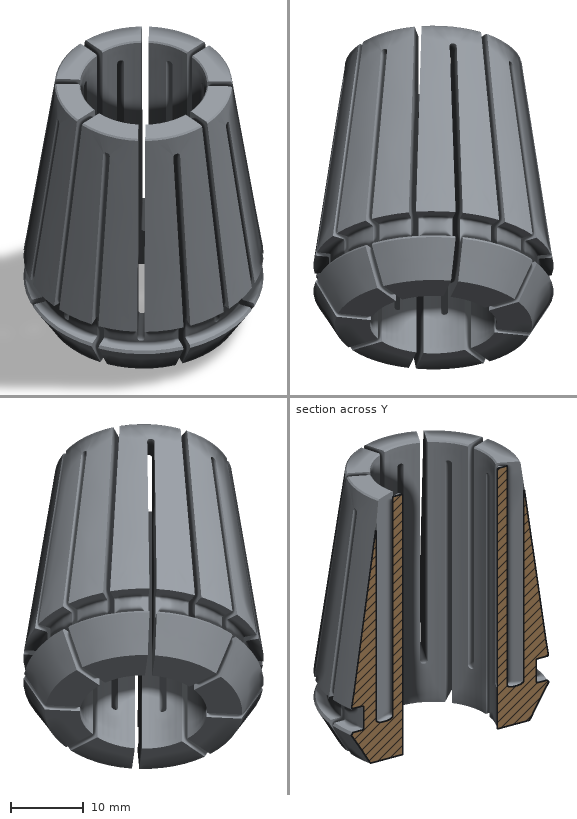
import cadquery as cq
import math

length = 40.0
max_radius = 16.5
bore_radius = 17.46 / 2

taper_angle = 8.0
taper_bottom_z = 9.1
top_edge_chamfer = 0.2
bore_edge_chamfer = 0.2

groove_radius = 14.6
groove_bottom_z = 5.5
groove_fillet = 0.2
nose_angle = 30.0
nose_rim_z = 5.1
rim_chamfer_width = 0.25

slot_width = 1.0
slots_per_set = 8
slot_pitch = 360.0 / slots_per_set
nose_slot_end_z = 37.1
top_slot_end_z = 5.9
slot_corner_radius = 0.45
slot_overrun = 1.0

top_radius = max_radius - (length - taper_bottom_z) * math.tan(math.radians(taper_angle))
nose_radius = max_radius - nose_rim_z * math.tan(math.radians(nose_angle))


def collet_body():
    """Revolve the half section of the unslotted collet about Z."""
    top_chamfer_z = length - top_edge_chamfer
    top_chamfer_radius = top_radius + top_edge_chamfer * math.tan(math.radians(taper_angle))
    section = (
        cq.Workplane("XZ")
        .moveTo(bore_radius, 0)
        .lineTo(nose_radius, 0)
        .lineTo(max_radius, nose_rim_z)
        .lineTo(max_radius - rim_chamfer_width, groove_bottom_z)
        .lineTo(groove_radius + groove_fillet, groove_bottom_z)
        .radiusArc((groove_radius, groove_bottom_z + groove_fillet), groove_fillet)
        .lineTo(groove_radius, taper_bottom_z - groove_fillet)
        .radiusArc((groove_radius + groove_fillet, taper_bottom_z), groove_fillet)
        .lineTo(max_radius, taper_bottom_z)
        .lineTo(top_chamfer_radius, top_chamfer_z)
        .lineTo(top_radius - top_edge_chamfer, length)
        .lineTo(bore_radius + bore_edge_chamfer, length)
        .lineTo(bore_radius, length - bore_edge_chamfer)
        .close()
    )
    return section.revolve(360, (0, 0, 0), (0, 1, 0))


def slot_cutter(bottom_z, top_z, rounded_end, angle):
    """Radial slab reaching from the axis past the outside, rounded at its closed end."""
    cutter = (
        cq.Workplane("XY")
        .workplane(offset=bottom_z)
        .rect(max_radius + slot_overrun, slot_width)
        .extrude(top_z - bottom_z)
        .translate(((max_radius + slot_overrun) / 2, 0, 0))
        .faces(rounded_end)
        .edges("|X")
        .fillet(slot_corner_radius)
    )
    return cutter.rotate((0, 0, 0), (0, 0, 1), angle)


result = collet_body()
for index in range(slots_per_set):
    nose_slot_angle = index * slot_pitch
    top_slot_angle = nose_slot_angle + slot_pitch / 2
    result = result.cut(slot_cutter(-slot_overrun, nose_slot_end_z, ">Z", nose_slot_angle))
    result = result.cut(slot_cutter(top_slot_end_z, length + slot_overrun, "<Z", top_slot_angle))